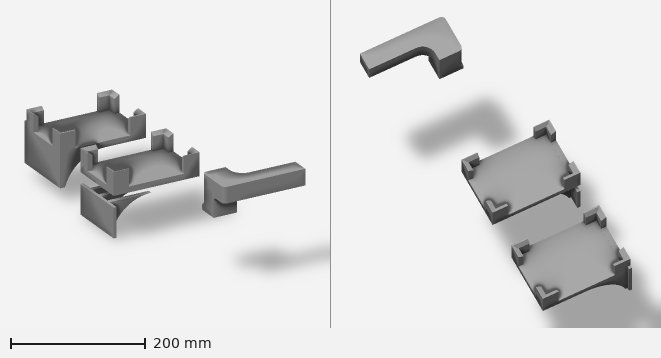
import cadquery as cq
import math


total_width = 476.3
total_depth = 208.67
total_height = 148.0

tray_width = 100.4
tray_length = 146.5
tray_height = 39.0
floor_thickness = 9.8
side_wall = 6.5
end_wall = 8.5
rim = 1.0
ledge_step = 0.2
rim_bevel_depth = 5.0
post_length_x = 22.0
post_length_y = 26.3
tray_spacing = 162.5

extra_wall = 1.5
plate_overhang = 5.0
overhang_top = 19.0

plate_thickness = 5.0
bracket_height = 50.0
arc_radius = 70.5
arc_foot = 8.3
rib_thickness = 7.5
rib_pitch = 26.0
rib_count = 3
bracket_gap = 19.0

arm_front_y = 69.0
arm_width = 30.0
arm_length = total_depth - arm_front_y
arm_thickness = 27.0
foot_width = 64.0
foot_depth = 40.0
post_width = 34.5
post_height = 60.5
elbow_radius = 21.5
corner_radius = 7.5
underside_radius = 7.0
base_height = 13.0
corner_runout = 4.3
runout_tip = 0.05


def box(x0, x1, y0, y1, z0, z1):
    """Axis-aligned box between two opposite corners."""
    return cq.Workplane("XY").box(x1 - x0, y1 - y0, z1 - z0, centered=False).translate((x0, y0, z0))


def tray():
    """Open tray whose walls are cut away to leave four L-shaped corner posts with bevelled tops."""
    body = box(0, tray_width, 0, tray_length, 0, tray_height)
    cavity = box(side_wall, tray_width - side_wall, end_wall, tray_length - end_wall,
                 floor_thickness, tray_height)
    bevel_z = tray_height - rim_bevel_depth
    bevel = (
        cq.Workplane("XY", origin=(tray_width / 2, tray_length / 2, bevel_z))
        .rect(tray_width - 2 * side_wall, tray_length - 2 * end_wall)
        .workplane(offset=rim_bevel_depth)
        .rect(tray_width - 2 * rim, tray_length - 2 * rim)
        .loft(ruled=True)
    )
    return body.cut(cavity).cut(bevel)


def post_gaps(width):
    """Cutters that open the tray walls between the corner posts, across the given outer width."""
    ledge_z = floor_thickness + ledge_step
    end_gap = box(post_length_x, tray_width - post_length_x, 0, tray_length, ledge_z, tray_height)
    side_gap = box(0, width, post_length_y, tray_length - post_length_y, floor_thickness, tray_height)
    return end_gap.union(side_gap)


def bracket_web(x0, thickness, top_z):
    """Vertical web, flat on top and hollowed by an arc tangent to its top edge."""
    bottom_z = top_z - bracket_height
    centre_z = top_z - arc_radius
    arc_run = math.sqrt(arc_radius**2 - (bottom_z - centre_z) ** 2)
    centre_y = arc_foot + arc_run
    foot_angle = math.atan2(bottom_z - centre_z, -arc_run)
    mid_angle = (foot_angle + math.pi / 2) / 2
    mid_arc = (centre_y + arc_radius * math.cos(mid_angle), centre_z + arc_radius * math.sin(mid_angle))
    return (
        cq.Workplane("YZ", origin=(x0, 0, 0))
        .moveTo(0, bottom_z)
        .lineTo(arc_foot, bottom_z)
        .threePointArc(mid_arc, (centre_y, top_z))
        .lineTo(0, top_z)
        .close()
        .extrude(thickness)
    )


def bracketed_tray():
    """Tray with a solid arched bracket and an overhanging back plate, all one piece."""
    width = tray_width + extra_wall
    thick_side = box(tray_width, width, 0, tray_length, 0, tray_height)
    plate = box(-plate_overhang, width, 0, plate_thickness, -bracket_height, overhang_top)
    body = tray().union(thick_side).union(bracket_web(0, width, 0)).union(plate)
    return body.cut(post_gaps(width))


def plain_tray():
    """Tray with no bracket."""
    return tray().cut(post_gaps(tray_width)).translate((tray_spacing, 0, 0))


def ribbed_bracket():
    """Separate bracket: a back plate carrying evenly spaced arched ribs."""
    top_z = -bracket_gap
    body = box(0, tray_width, 0, plate_thickness, top_z - bracket_height, top_z)
    for i in range(rib_count):
        offset = (i - (rib_count - 1) / 2) * rib_pitch
        rib_x = tray_width / 2 + offset - rib_thickness / 2
        body = body.union(bracket_web(rib_x, rib_thickness, top_z))
    return body.translate((tray_spacing, 0, 0))


def fillet_edge(body, point, radius):
    """Fillet the one edge whose centre is nearest to the point."""
    return body.edges(cq.selectors.NearestToPointSelector(point)).fillet(radius)


def corner_waste(radius, z):
    """Outline between a square corner at the origin and the fillet that rounds it."""
    near = radius * (1 - math.sqrt(0.5))
    return (
        cq.Workplane("XY", origin=(0, 0, z))
        .lineTo(radius, 0)
        .threePointArc((near, near), (0, radius))
        .close()
    )


def cranked_arm():
    """L-shaped arm with a post below its foot; the post's corner fillet runs out to a sharp base."""
    arm_bottom = post_height - arm_thickness
    arm = box(foot_width - arm_width, foot_width, 0, arm_length, arm_bottom, post_height)
    foot = box(0, foot_width, 0, foot_depth, arm_bottom, post_height)
    post = box(0, post_width, 0, foot_depth, 0, arm_bottom)
    arm_middle_z = (arm_bottom + post_height) / 2
    plan = arm.union(foot)
    plan = fillet_edge(plan, (foot_width - arm_width, foot_depth, arm_middle_z), elbow_radius)
    plan = fillet_edge(plan, (foot_width, 0, arm_middle_z), corner_radius)
    body = fillet_edge(plan.union(post), (post_width, foot_depth / 2, arm_bottom), underside_radius)

    rounding = corner_waste(corner_radius, base_height).extrude(post_height - base_height)
    top_wire = corner_waste(corner_radius, base_height).val()
    tip_wire = corner_waste(runout_tip, base_height - corner_runout).val()
    runout = cq.Workplane(cq.Solid.makeLoft([tip_wire, top_wire], True))
    body = body.cut(rounding).cut(runout)
    arm_x = total_width - plate_overhang - foot_width
    arm_z = total_height - bracket_gap - bracket_height - post_height
    return body.translate((arm_x, arm_front_y, arm_z))


result = cq.Compound.makeCompound([
    bracketed_tray().val(),
    plain_tray().val(),
    ribbed_bracket().val(),
    cranked_arm().val(),
])